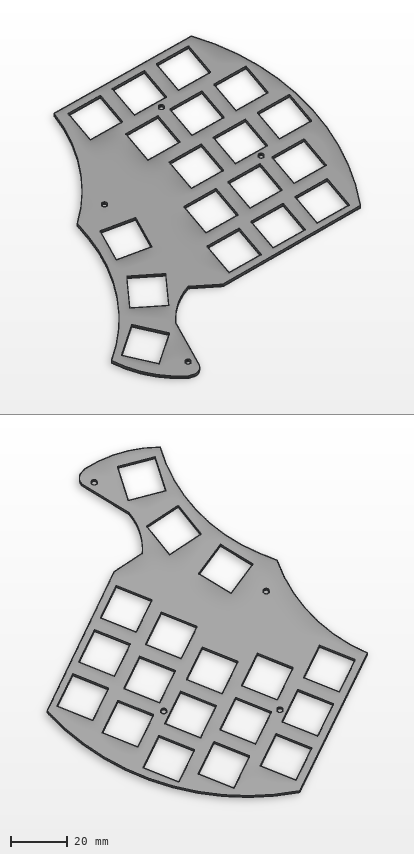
import cadquery as cq

thickness = 1.6
length = 122.2
width = 121.3

switch_size = 13.9
row_pitch = 19.1
column_pitch = 19.0
row_count = 3
first_column_x = 9.9
bottom_row_heights = [55.5, 67.4, 73.1, 66.4, 63.3]
thumb_switches = [(59.7, 34.5, -10), (82.8, 28.0, -30), (101.5, 14.0, -50)]

screw_diameter = 2.2
screw_positions = [(57.1, 94.7), (19.4, 77.5), (42.9, 36.7), (116.4, 22.2)]

left_top = (0, 103.9)
right_top = (95.1, 111.6)
right_bottom = (95.6, 51.7)
neck_top = (89.4, 41.0)
neck_bottom = (100.1, 28.2)
tip_top = (120.0, 24.7)
tip_right = (length, 21.3)
tip_bottom = (121.6, 18.8)
thumb_bottom = (100.5, 0)
palm_right = (51.3, 24.0)
palm_left = (44.3, palm_right[1])
left_bottom = (0, 44.4)

top_crest = (53.7, width)
neck_middle = (93.5, 33.6)
tip_corner = (121.5, 23.6)
thumb_outer_middle = (112.7, 8.0)
thumb_inner_middle = (77.8, 18.0)
palm_middle = (24.6, 38.6)


def make_plate():
    return (
        cq.Workplane("XY")
        .moveTo(*left_top)
        .threePointArc(top_crest, right_top)
        .lineTo(*right_bottom)
        .lineTo(*neck_top)
        .threePointArc(neck_middle, neck_bottom)
        .lineTo(*tip_top)
        .threePointArc(tip_corner, tip_right)
        .lineTo(*tip_bottom)
        .threePointArc(thumb_outer_middle, thumb_bottom)
        .threePointArc(thumb_inner_middle, palm_right)
        .lineTo(*palm_left)
        .threePointArc(palm_middle, left_bottom)
        .close()
        .extrude(thickness)
    )


def switch_opening(x, y, angle=0):
    """Square through-cutter centred on (x, y), turned about Z by angle degrees."""
    square = cq.Workplane("XY").rect(switch_size, switch_size).extrude(thickness)
    return square.rotate((0, 0, 0), (0, 0, 1), angle).translate((x, y, 0))


result = make_plate()

for column, bottom_y in enumerate(bottom_row_heights):
    column_x = first_column_x + column * column_pitch
    for row in range(row_count):
        result = result.cut(switch_opening(column_x, bottom_y + row * row_pitch))

for x, y, angle in thumb_switches:
    result = result.cut(switch_opening(x, y, angle))

screws = cq.Workplane("XY").pushPoints(screw_positions).circle(screw_diameter / 2).extrude(thickness)
result = result.cut(screws)